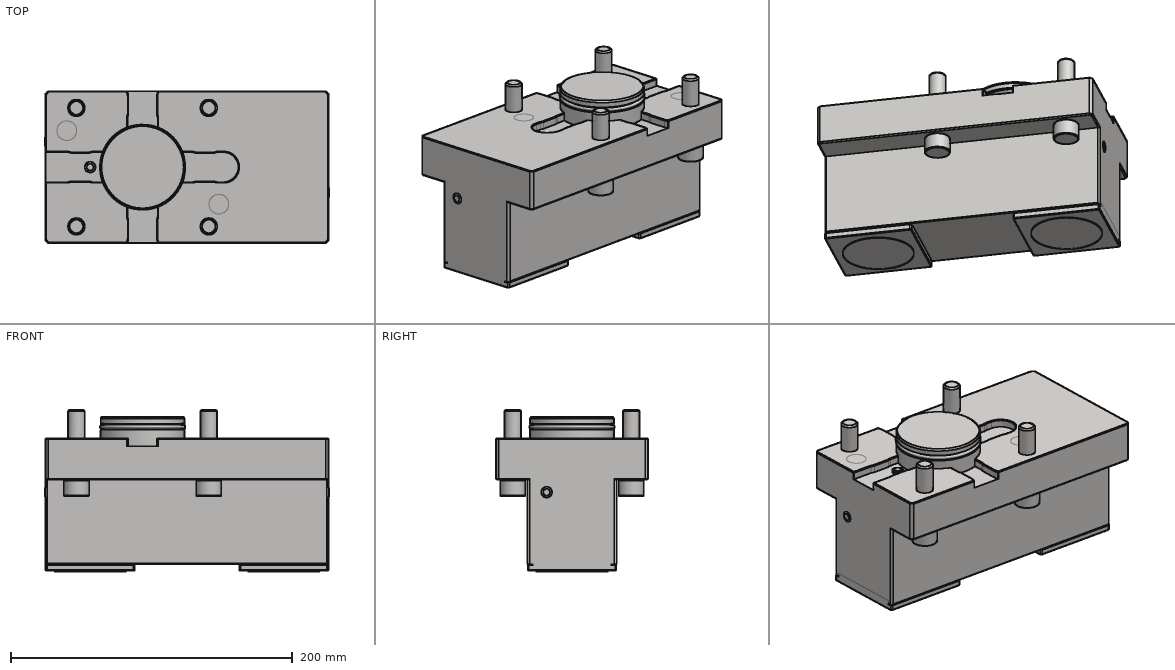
import cadquery as cq


TOTAL_LENGTH = 202
BODY_LENGTH = 200.9
FLANGE_WIDTH = 108.0
FLANGE_THICKNESS = 29.5
BODY_WIDTH = 63.9
BODY_BOTTOM = -89.3
BODY_ROOT = -14.8
FLANGE_CORNER = 2.0
BODY_CORNER_X = 1.5
BODY_CORNER_Y = 2.0
EDGE_CHAMFER = 0.6
UNDERSIDE_CHAMFER = 1.0

DISC_X = -31.5
SLOT_DEPTH = 5.7
SLOT_WIDTH = 21.2
LAND_GAP = 20.0
LAND_START = 37.8
LAND_END = 50.7
LAND_RAMP = 2.5
BLIND_SLOT_REACH = 57.4

DISC_DIAMETER = 59.8
DISC_HEIGHT = 15.4
DISC_CHAMFER_OUT = 0.8
DISC_CHAMFER_DOWN = 1.5
GROOVE_DIAMETER = 55.2
GROOVE_WIDTH = 4.2
GROOVE_BOTTOM = 6.3
RING_HEIGHT = 8.0
RING_DIAMETER = 60.6
RING_SECTION = 3.0

SCREW_SPACING_X = 94.0
SCREW_SPACING_Y = 84.0
SHANK_DIAMETER = 12.0
SHANK_HEIGHT = 20.5
SHANK_CHAMFER = 1.2
HEAD_DIAMETER = 18.0
HEAD_HEIGHT = 11.5

PLUG_DIAMETER = 14.0
PLUG_DEPTH = 14.8
PLUG_OFFSET_X = 54.0
PLUG_OFFSET_Y = 26.0

NIPPLE_DIAMETER = 7.7
NIPPLE_TIP_DIAMETER = 4.8
NIPPLE_TIP_HEIGHT = (TOTAL_LENGTH - BODY_LENGTH) / 2
NIPPLE_ROOT = 2.0
FLOOR_NIPPLE_HEIGHT = 2.0
FLOOR_NIPPLE_REACH = 37.2
END_NIPPLE_Y = 18.0
END_NIPPLE_Z = -38.2

PAD_LENGTH = 63.5
PAD_WIDTH = 62.6
PAD_TOP = -90.0
PAD_BOTTOM = -94.0
PAD_CORNER_X = 1.2
PAD_CORNER_Y = 0.8
TONGUE_WIDTH = 56.0
TONGUE_TOP = -86.9
FOOT_DIAMETER = 50.5
FOOT_BOTTOM = -94.5


def block(length, width, bottom, top):
    """Box centred in X and Y, between two heights."""
    return cq.Workplane("XY", origin=(0, 0, bottom)).rect(length, width).extrude(top - bottom)


def cylinder(diameter, bottom, top, x=0, y=0):
    """Upright cylinder between two heights."""
    return cq.Workplane("XY", origin=(x, y, bottom)).circle(diameter / 2).extrude(top - bottom)


def chamfered_block(length, width, bottom, top, corner_x, corner_y):
    """Box whose upright corners are cut off by corner_x along X and corner_y along Y."""
    x = length / 2
    y = width / 2
    corners = [
        (x - corner_x, -y), (x, corner_y - y), (x, y - corner_y), (x - corner_x, y),
        (corner_x - x, y), (-x, y - corner_y), (-x, corner_y - y), (corner_x - x, -y),
    ]
    return cq.Workplane("XY", origin=(0, 0, bottom)).polyline(corners).close().extrude(top - bottom)


def slot_cutter(half_outline, angle):
    """Cutter as deep as the slots, from (along, across) points mirrored about the slot axis."""
    mirrored = [(along, -across) for along, across in reversed(half_outline)]
    cutter = cq.Workplane("XY", origin=(0, 0, -SLOT_DEPTH)).polyline(half_outline + mirrored).close()
    return cutter.extrude(SLOT_DEPTH).rotate((0, 0, 0), (0, 0, 1), angle).translate((DISC_X, 0, 0))


def slot_arm(reach, angle):
    """Slot running out from the disc axis, narrowed for a stretch by a land on each side."""
    wide = SLOT_WIDTH / 2
    narrow = LAND_GAP / 2
    half_outline = [
        (0, wide),
        (LAND_START - LAND_RAMP, wide),
        (LAND_START, narrow),
        (LAND_END, narrow),
        (LAND_END + LAND_RAMP, wide),
        (reach, wide),
    ]
    return slot_cutter(half_outline, angle)


def slot_mouth(reach, angle):
    """Chamfer on the upright edges where a slot leaves the flange."""
    wide = SLOT_WIDTH / 2
    return slot_cutter([(reach - EDGE_CHAMFER, wide), (reach, wide + EDGE_CHAMFER)], angle)


def make_flange():
    flange = chamfered_block(BODY_LENGTH, FLANGE_WIDTH, -FLANGE_THICKNESS, 0, FLANGE_CORNER, FLANGE_CORNER)
    flange = flange.faces("<Z").chamfer(UNDERSIDE_CHAMFER)

    side_reach = FLANGE_WIDTH / 2
    end_reach = BODY_LENGTH / 2 + DISC_X
    open_arms = [(side_reach, 90), (end_reach, 180), (side_reach, 270)]
    for reach, angle in open_arms + [(BLIND_SLOT_REACH, 0)]:
        flange = flange.cut(slot_arm(reach, angle))
    flange = flange.cut(cylinder(SLOT_WIDTH, -SLOT_DEPTH, 0, DISC_X + BLIND_SLOT_REACH))

    flange = flange.faces(">Z").edges().chamfer(EDGE_CHAMFER)
    for reach, angle in open_arms:
        flange = flange.cut(slot_mouth(reach, angle))
    return flange


def make_body():
    body = chamfered_block(BODY_LENGTH, BODY_WIDTH, BODY_BOTTOM, BODY_ROOT, BODY_CORNER_X, BODY_CORNER_Y)
    return body.faces("<Z").edges("<Y or >Y").chamfer(EDGE_CHAMFER)


def make_disc():
    disc = cylinder(DISC_DIAMETER, -SLOT_DEPTH, DISC_HEIGHT)
    disc = disc.faces(">Z").chamfer(DISC_CHAMFER_DOWN, DISC_CHAMFER_OUT)
    groove_top = GROOVE_BOTTOM + GROOVE_WIDTH
    groove = cylinder(RING_DIAMETER, GROOVE_BOTTOM, groove_top)
    groove = groove.cut(cylinder(GROOVE_DIAMETER, GROOVE_BOTTOM, groove_top))
    ring = cq.Solid.makeTorus(
        (RING_DIAMETER - RING_SECTION) / 2, RING_SECTION / 2, cq.Vector(0, 0, RING_HEIGHT)
    )
    return disc.cut(groove).union(ring).translate((DISC_X, 0, 0))


def make_screw(x, y):
    shank = cylinder(SHANK_DIAMETER, -FLANGE_THICKNESS, SHANK_HEIGHT, x, y)
    shank = shank.faces(">Z").chamfer(SHANK_CHAMFER)
    head = cylinder(HEAD_DIAMETER, -FLANGE_THICKNESS - HEAD_HEIGHT, -FLANGE_THICKNESS, x, y)
    return shank.union(head.faces("<Z or >Z").chamfer(EDGE_CHAMFER))


def make_nipple(height):
    """Nipple rising from Z = 0; its tip tapers to a flat end."""
    taper = (NIPPLE_DIAMETER - NIPPLE_TIP_DIAMETER) / 2
    nipple = cylinder(NIPPLE_DIAMETER, -NIPPLE_ROOT, height)
    return nipple.faces(">Z").chamfer(NIPPLE_TIP_HEIGHT, taper)


def make_pad():
    pad = chamfered_block(PAD_LENGTH, PAD_WIDTH, PAD_BOTTOM, PAD_TOP, PAD_CORNER_X, PAD_CORNER_Y)
    pad = pad.faces("<Z").chamfer(EDGE_CHAMFER)
    pad = pad.union(block(PAD_LENGTH, TONGUE_WIDTH, PAD_TOP, TONGUE_TOP))
    return pad.union(cylinder(FOOT_DIAMETER, FOOT_BOTTOM, PAD_BOTTOM))


result = make_flange().union(make_body()).union(make_disc())

for side_x in (-1, 1):
    for side_y in (-1, 1):
        screw = make_screw(DISC_X + side_x * SCREW_SPACING_X / 2, side_y * SCREW_SPACING_Y / 2)
        result = result.union(screw)

floor_nipple = make_nipple(FLOOR_NIPPLE_HEIGHT).translate((DISC_X - FLOOR_NIPPLE_REACH, 0, -SLOT_DEPTH))
result = result.union(floor_nipple)

end_nipple = make_nipple(NIPPLE_TIP_HEIGHT).rotate((0, 0, 0), (0, 1, 0), 90)
end_nipple = end_nipple.translate((BODY_LENGTH / 2, -END_NIPPLE_Y, END_NIPPLE_Z))
for angle in (0, 180):
    result = result.union(end_nipple.rotate((0, 0, 0), (0, 0, 1), angle))

end_pad = make_pad().translate(((BODY_LENGTH - PAD_LENGTH) / 2, 0, 0))
for angle in (0, 180):
    pad = end_pad.rotate((0, 0, 0), (0, 0, 1), angle)
    result = result.cut(pad).union(pad, clean=False)

for side in (-1, 1):
    plug = cylinder(PLUG_DIAMETER, -PLUG_DEPTH, 0, DISC_X + side * PLUG_OFFSET_X, -side * PLUG_OFFSET_Y)
    result = result.union(plug, clean=False)